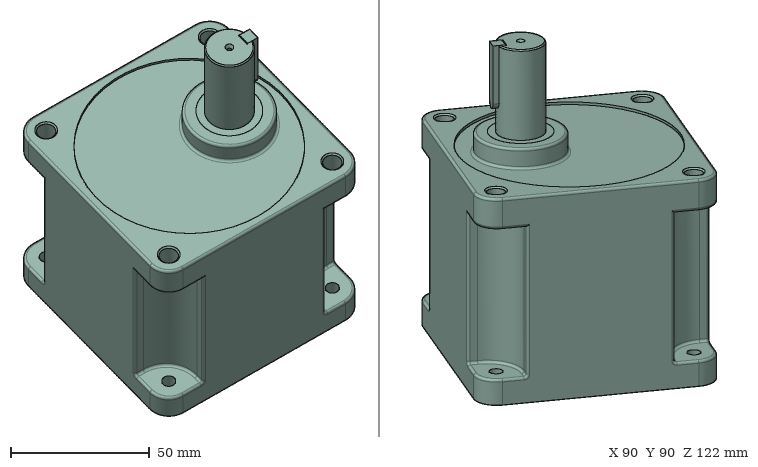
import cadquery as cq
import math

HOUSING_WIDTH = 90.0
HOUSING_HEIGHT = 80.0
CORNER_RADIUS = 8.5
EDGE_ROUND = 1.0

POCKET_WIDTH = 17.6
POCKET_WALL_RADIUS = 13.8
LOWER_FLANGE_THICKNESS = 10.0
UPPER_FLANGE_THICKNESS = 12.0
POCKET_BOTTOM = LOWER_FLANGE_THICKNESS
POCKET_TOP = HOUSING_HEIGHT - UPPER_FLANGE_THICKNESS
TOLERANCE = 0.01

HOLE_SPACING = 73.6
UPPER_HOLE_DIAMETER = 7.0
LOWER_HOLE_DIAMETER = 5.0
HOLE_CHAMFER = 0.6
HOLE_CHAMFER_ANGLE = 45.0

RECESS_DIAMETER = 83.0
RECESS_DEPTH = EDGE_ROUND
RECESS_FLOOR = HOUSING_HEIGHT - RECESS_DEPTH

AXIS_Y = 18.0
BOSS_DIAMETER = 34.0
BOSS_HEIGHT = 7.0
BOSS_TOP = HOUSING_HEIGHT + BOSS_HEIGHT
SEAL_DIAMETER = 24.0
SEAL_BOTTOM = HOUSING_HEIGHT

SHAFT_DIAMETER = 18.0
SHAFT_TOP = 122.0
SHAFT_CHAMFER = 0.5
CENTER_HOLE_DIAMETER = 3.0
CENTER_PILOT_DIAMETER = 1.5
CENTER_PILOT_DEPTH = 3.0
CENTER_CONE_ANGLE = 60.0

KEY_WIDTH = 5.0
KEY_LENGTH = 25.0
KEY_HEIGHT = 4.6
KEY_FLOOR_GAP = 0.4
KEYWAY_DEPTH = 3.0
KEYWAY_FLOOR_Y = AXIS_Y + SHAFT_DIAMETER / 2 - KEYWAY_DEPTH

CORNER_SIGNS = [(-1, -1), (1, -1), (1, 1), (-1, 1)]


def cylinder(diameter, bottom, top, x=0.0, y=0.0):
    return cq.Workplane("XY", origin=(x, y, bottom)).circle(diameter / 2).extrude(top - bottom)


def corner_pocket(sign_x, sign_y):
    """Cutter for one corner: square in plan, with a large round inner corner and a rounded floor edge."""
    corner_x = sign_x * HOUSING_WIDTH / 2
    corner_y = sign_y * HOUSING_WIDTH / 2
    cutter = (
        cq.Workplane("XY", origin=(corner_x, corner_y, POCKET_BOTTOM))
        .rect(2 * POCKET_WIDTH, 2 * POCKET_WIDTH)
        .extrude(POCKET_TOP - POCKET_BOTTOM)
    )
    inner_edge = cq.selectors.NearestToPointSelector(
        (corner_x - sign_x * POCKET_WIDTH, corner_y - sign_y * POCKET_WIDTH, (POCKET_BOTTOM + POCKET_TOP) / 2)
    )
    cutter = cutter.edges(inner_edge).fillet(POCKET_WALL_RADIUS)
    return cutter.faces("<Z").edges().fillet(EDGE_ROUND)


def is_pocket_rim(edge):
    """True for the edges where a pocket opens through the outer faces of the block."""
    box = edge.BoundingBox()
    if box.zmin < POCKET_BOTTOM - TOLERANCE or box.zmax > POCKET_TOP + TOLERANCE:
        return False
    middle = edge.positionAt(0.5)
    inner_half_width = HOUSING_WIDTH / 2 - CORNER_RADIUS
    beyond_x = max(abs(middle.x) - inner_half_width, 0)
    beyond_y = max(abs(middle.y) - inner_half_width, 0)
    return abs(math.hypot(beyond_x, beyond_y) - CORNER_RADIUS) < TOLERANCE


def make_block():
    """Rounded square block with four corner pockets and rounded edges."""
    block = (
        cq.Workplane("XY")
        .rect(HOUSING_WIDTH, HOUSING_WIDTH)
        .extrude(HOUSING_HEIGHT)
        .edges("|Z")
        .fillet(CORNER_RADIUS)
    )
    for sign_x, sign_y in CORNER_SIGNS:
        block = block.cut(corner_pocket(sign_x, sign_y))
    rims = [edge for edge in block.edges().vals() if is_pocket_rim(edge)]
    block = block.newObject(rims).fillet(EDGE_ROUND)
    return block.faces(">Z").edges().fillet(EDGE_ROUND)


def make_boss():
    """Round boss on the recess floor, with a rounded top edge and a fillet at its foot."""
    radius = BOSS_DIAMETER / 2
    bend = EDGE_ROUND * math.sqrt(0.5)
    foot_center = (radius + EDGE_ROUND, RECESS_FLOOR + EDGE_ROUND)
    round_center = (radius - EDGE_ROUND, BOSS_TOP - EDGE_ROUND)
    return (
        cq.Workplane("XZ", origin=(0, AXIS_Y, 0))
        .moveTo(0, RECESS_FLOOR)
        .lineTo(foot_center[0], RECESS_FLOOR)
        .threePointArc((foot_center[0] - bend, foot_center[1] - bend), (radius, foot_center[1]))
        .lineTo(radius, round_center[1])
        .threePointArc((round_center[0] + bend, round_center[1] + bend), (round_center[0], BOSS_TOP))
        .lineTo(0, BOSS_TOP)
        .close()
        .revolve()
    )


def mounting_hole(x, y):
    """Cutter for one hole: narrow in the lower flange, wider and chamfered in the upper one."""
    middle = HOUSING_HEIGHT / 2
    lower = cylinder(LOWER_HOLE_DIAMETER, 0, middle, x, y)
    upper = cylinder(UPPER_HOLE_DIAMETER, middle, HOUSING_HEIGHT, x, y)
    chamfer = (
        cq.Workplane("XY", origin=(x, y, HOUSING_HEIGHT))
        .circle(UPPER_HOLE_DIAMETER / 2 + HOLE_CHAMFER)
        .extrude(-HOLE_CHAMFER, taper=HOLE_CHAMFER_ANGLE)
    )
    return lower.union(upper).union(chamfer)


def make_housing():
    body = make_block().cut(cylinder(RECESS_DIAMETER, RECESS_FLOOR, HOUSING_HEIGHT))
    body = body.union(make_boss())
    body = body.cut(cylinder(SEAL_DIAMETER, SEAL_BOTTOM, BOSS_TOP, y=AXIS_Y))
    for sign_x, sign_y in CORNER_SIGNS:
        body = body.cut(mounting_hole(sign_x * HOLE_SPACING / 2, sign_y * HOLE_SPACING / 2))
    return body


def key_block(inner_y, height):
    """Bar along the shaft: its section starts at inner_y, and its lower end is a half circle seen along Y."""
    end_radius = KEY_WIDTH / 2
    end_center_z = SHAFT_TOP - KEY_LENGTH + end_radius
    return (
        cq.Workplane("XZ", origin=(0, inner_y + height, 0))
        .moveTo(-end_radius, SHAFT_TOP)
        .lineTo(-end_radius, end_center_z)
        .threePointArc((0, end_center_z - end_radius), (end_radius, end_center_z))
        .lineTo(end_radius, SHAFT_TOP)
        .close()
        .extrude(height)
    )


def make_key():
    return key_block(KEYWAY_FLOOR_Y + KEY_FLOOR_GAP, KEY_HEIGHT)


def make_shaft():
    """Shaft that stands on the seat of the seal, with a keyway and a center hole in its end."""
    shaft = cylinder(SHAFT_DIAMETER, SEAL_BOTTOM, SHAFT_TOP, y=AXIS_Y)
    shaft = shaft.faces(">Z").edges().chamfer(SHAFT_CHAMFER)
    shaft = (
        shaft.faces(">Z")
        .workplane(origin=(0, AXIS_Y, SHAFT_TOP))
        .cskHole(CENTER_PILOT_DIAMETER, CENTER_HOLE_DIAMETER, CENTER_CONE_ANGLE, CENTER_PILOT_DEPTH)
    )
    return shaft.cut(key_block(KEYWAY_FLOOR_Y, KEY_FLOOR_GAP + KEY_HEIGHT))


def make_seal():
    outer = cylinder(SEAL_DIAMETER, SEAL_BOTTOM, BOSS_TOP, y=AXIS_Y)
    return outer.cut(cylinder(SHAFT_DIAMETER, SEAL_BOTTOM, BOSS_TOP, y=AXIS_Y))


housing = make_housing()
key = make_key()
shaft = make_shaft()
seal = make_seal()

result = cq.Compound.makeCompound([housing.val(), seal.val(), shaft.val(), key.val()])